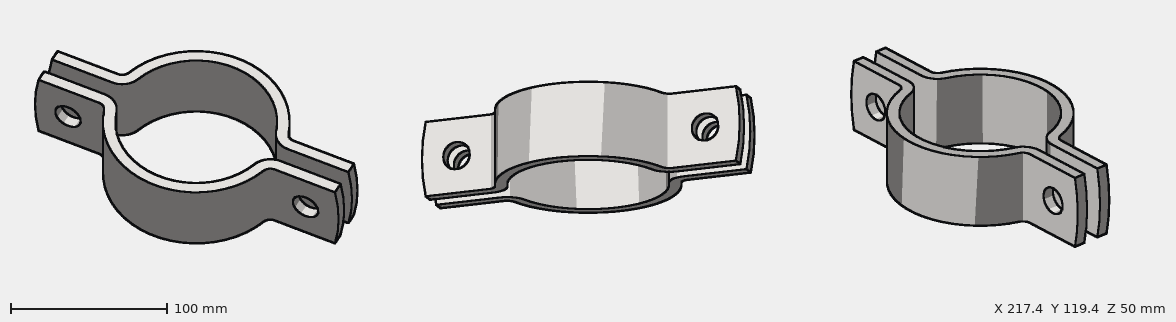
import cadquery as cq
import math

length = 217.4
width = 50.0
thickness = 8.0
bore_radius = 51.7
gap = 11.0
bend_radius = 6.0
tip_sagitta = 2.5
hole_diameter = 18.0
hole_spacing = 170.0

half_length = length / 2
ring_radius = bore_radius + thickness
outer_bend_radius = bend_radius + thickness
ear_inner_y = gap / 2
ear_outer_y = ear_inner_y + thickness

bend_y = ear_outer_y + bend_radius
bend_center_distance = ring_radius + bend_radius
bend_x = math.sqrt(bend_center_distance**2 - bend_y**2)
bend_angle = math.atan2(bend_y, bend_x)


def ring_point(radius, side):
    """Point where the bend meets the ring, on the side of the given sign."""
    return side * radius * math.cos(bend_angle), radius * math.sin(bend_angle)


def bend_point(radius, side):
    """Middle of the bend arc: halfway between straight down and toward the ring axis."""
    angle = (math.pi / 2 - bend_angle) / 2
    return side * (bend_x - radius * math.sin(angle)), bend_y - radius * math.cos(angle)


def make_strap():
    """Bent strap of constant thickness, extruded symmetrically about Z = 0."""
    return (
        cq.Workplane("XY")
        .moveTo(-half_length, ear_outer_y)
        .lineTo(-bend_x, ear_outer_y)
        .threePointArc(bend_point(bend_radius, -1), ring_point(ring_radius, -1))
        .threePointArc((0, ring_radius), ring_point(ring_radius, 1))
        .threePointArc(bend_point(bend_radius, 1), (bend_x, ear_outer_y))
        .lineTo(half_length, ear_outer_y)
        .lineTo(half_length, ear_inner_y)
        .lineTo(bend_x, ear_inner_y)
        .threePointArc(bend_point(outer_bend_radius, 1), ring_point(bore_radius, 1))
        .threePointArc((0, bore_radius), ring_point(bore_radius, -1))
        .threePointArc(bend_point(outer_bend_radius, -1), (-bend_x, ear_inner_y))
        .lineTo(-half_length, ear_inner_y)
        .close()
        .extrude(width / 2, both=True)
    )


def make_tip_envelope():
    """Plate with arched ends that gives the ears their rounded tips."""
    corner_x = half_length - tip_sagitta
    half_width = width / 2
    return (
        cq.Workplane("XZ")
        .moveTo(-corner_x, -half_width)
        .lineTo(corner_x, -half_width)
        .threePointArc((half_length, 0), (corner_x, half_width))
        .lineTo(-corner_x, half_width)
        .threePointArc((-half_length, 0), (-corner_x, -half_width))
        .close()
        .extrude(-ring_radius)
    )


def make_bolt_holes():
    """Cutters along Y through both ears."""
    return (
        cq.Workplane("XZ")
        .pushPoints([(-hole_spacing / 2, 0), (hole_spacing / 2, 0)])
        .circle(hole_diameter / 2)
        .extrude(-ring_radius)
    )


def make_clamp_half(turn):
    """One clamp half, turned about Z by the given angle in degrees."""
    half = make_strap().intersect(make_tip_envelope()).cut(make_bolt_holes())
    return half.rotate((0, 0, 0), (0, 0, 1), turn)


clamp_halves = [make_clamp_half(turn) for turn in (0, 180)]

result = cq.Compound.makeCompound([half.solids().val() for half in clamp_halves])